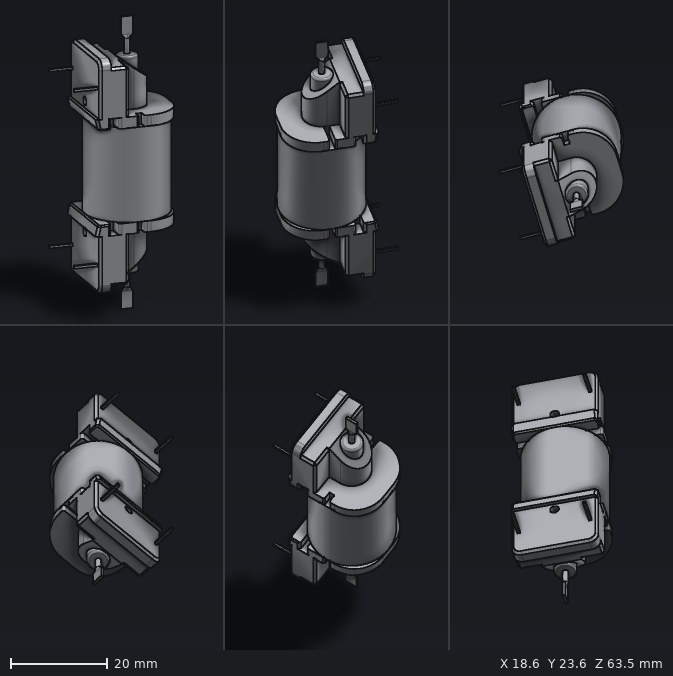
import cadquery as cq

half_length = 31.75
flange_inner_z = 10.3
flange_outer_z = 12.7
base_top_z = 23.7
plate_top_z = 25.4

body_radius = 9.3
flange_corner_radius = 7.3
edge_chamfer = 0.6

base_back_y = -2.8
base_front_y = -body_radius
plate_back_y = -6.65
plate_corner_radius = 2.05
base_hole_radius = 0.95
base_hole_depth = 1.9
base_hole_z = 14.2

lip_outer_y = -10.05
lip_inner_y = -9.5
lip_inner_chamfer = 0.3

notch_back_round = 0.6
upper_notch_depth = 2.0
upper_notch_back_y = 0.65
upper_notch_front_y = -0.6
upper_notch_chamfer = 0.4
lower_notch_depth = 3.5
lower_notch_back_y = -5.0
lower_notch_front_y = -6.7

saddle_half_width = 4.2
saddle_low_z = 18.6
boss_radius = 2.4
boss_edge_round = 0.5
lead_radius = 0.65
lead_top_z = 27.05
blade_start_z = 27.9
blade_width = 2.6
blade_thickness = 0.6

pin_size = 0.6
pin_spacing = 15.3
pin_z = 19.2
pin_tip_y = -14.35


def box_between(x0, x1, y0, y1, z0, z1):
    return cq.Workplane("XY").box(x1 - x0, y1 - y0, z1 - z0, centered=False).translate((x0, y0, z0))


def notch(side, depth, back_y, front_y, front_chamfer):
    """Slot cut into the rim from one side, with its back mouth rounded and its front mouth chamfered."""
    rim = side * body_radius
    floor = side * (body_radius - depth)
    return (
        cq.Workplane("XY", origin=(0, 0, flange_inner_z))
        .moveTo(rim, back_y + notch_back_round)
        .radiusArc((rim - side * notch_back_round, back_y), side * notch_back_round)
        .lineTo(floor, back_y)
        .lineTo(floor, front_y)
        .lineTo(rim - side * front_chamfer, front_y)
        .lineTo(rim, front_y - front_chamfer)
        .close()
        .extrude(flange_outer_z - flange_inner_z)
    )


def upper_notch(side, depth):
    return notch(side, depth, upper_notch_back_y, upper_notch_front_y, upper_notch_chamfer)


def lower_notch(side):
    return notch(side, lower_notch_depth, lower_notch_back_y, lower_notch_front_y, edge_chamfer)


def flange():
    """Rounded end plate whose lower rim carries the bevelled lip, with slots in both sides."""
    plate = box_between(
        -body_radius, body_radius, lower_notch_front_y, body_radius, flange_inner_z, flange_outer_z
    )
    plate = plate.edges("|Z and >Y").fillet(flange_corner_radius)
    lip = (
        cq.Workplane("YZ", origin=(-body_radius, 0, 0))
        .moveTo(lower_notch_front_y, flange_inner_z)
        .lineTo(lip_inner_y, flange_inner_z)
        .lineTo(lip_outer_y, flange_outer_z)
        .lineTo(lower_notch_front_y, flange_outer_z)
        .close()
        .extrude(2 * body_radius)
    )
    lip = lip.faces("<X or >X").edges("<Y").chamfer(edge_chamfer)
    lip = lip.faces("<Z").edges("not >Y").chamfer(lip_inner_chamfer)
    rim = plate.union(lip)
    rim = rim.cut(upper_notch(-1, body_radius - saddle_half_width))
    rim = rim.cut(upper_notch(1, upper_notch_depth))
    return rim.cut(lower_notch(-1)).cut(lower_notch(1))


def base():
    block = box_between(-body_radius, body_radius, base_front_y, base_back_y, flange_outer_z, base_top_z)
    block = block.edges("(|Z and >Y) or (|Y and >Z) or (>Y and >Z)").chamfer(edge_chamfer)
    plate = box_between(-body_radius, body_radius, base_front_y, plate_back_y, flange_outer_z, plate_top_z)
    plate = plate.edges("|Y and >Z").fillet(plate_corner_radius)
    block = block.union(plate)
    block = block.faces("<Y").edges("not <Z").chamfer(edge_chamfer)
    hole = (
        cq.Workplane("XZ", origin=(0, base_front_y, base_hole_z))
        .circle(base_hole_radius)
        .extrude(-base_hole_depth)
    )
    return block.cut(hole)


def saddle():
    """Half-round support whose outer end slopes down from the base to its rounded back."""
    w = saddle_half_width
    outline = (
        cq.Workplane("XY", origin=(0, 0, flange_outer_z))
        .moveTo(-w, plate_back_y)
        .lineTo(-w, 0)
        .threePointArc((0, w), (w, 0))
        .lineTo(w, plate_back_y)
        .close()
        .extrude(base_top_z - flange_outer_z)
    )
    side_profile = (
        cq.Workplane("YZ", origin=(-w, 0, 0))
        .moveTo(plate_back_y, flange_outer_z)
        .lineTo(w, flange_outer_z)
        .lineTo(w, saddle_low_z)
        .lineTo(base_back_y, base_top_z)
        .lineTo(plate_back_y, base_top_z)
        .close()
        .extrude(2 * w)
    )
    return outline.intersect(side_profile)


def lead():
    """Round boss and wire that ends in a flat blade."""
    boss = cq.Workplane("XY", origin=(0, 0, flange_outer_z)).circle(boss_radius)
    boss = boss.extrude(base_top_z - flange_outer_z).faces(">Z").edges().fillet(boss_edge_round)
    wire = cq.Workplane("XY", origin=(0, 0, base_top_z)).circle(lead_radius).extrude(lead_top_z - base_top_z)
    taper = (
        cq.Workplane("XY", origin=(0, 0, lead_top_z))
        .circle(lead_radius)
        .workplane(offset=blade_start_z - lead_top_z)
        .rect(blade_thickness, blade_width)
        .loft(ruled=True)
    )
    blade = cq.Workplane("XY", origin=(0, 0, blade_start_z)).rect(blade_thickness, blade_width)
    blade = blade.extrude(half_length - blade_start_z)
    return boss.union(wire).union(taper).union(blade)


def solder_pins():
    return (
        cq.Workplane("XZ", origin=(0, base_front_y, pin_z))
        .pushPoints([(-pin_spacing / 2, 0), (pin_spacing / 2, 0)])
        .rect(pin_size, pin_size)
        .extrude(base_front_y - pin_tip_y)
    )


body = cq.Workplane("XY").circle(body_radius).extrude(flange_inner_z, both=True)
upper_end = flange().union(base()).union(saddle()).union(lead()).union(solder_pins())
lower_end = upper_end.mirror("XY")
result = body.union(upper_end).union(lower_end)